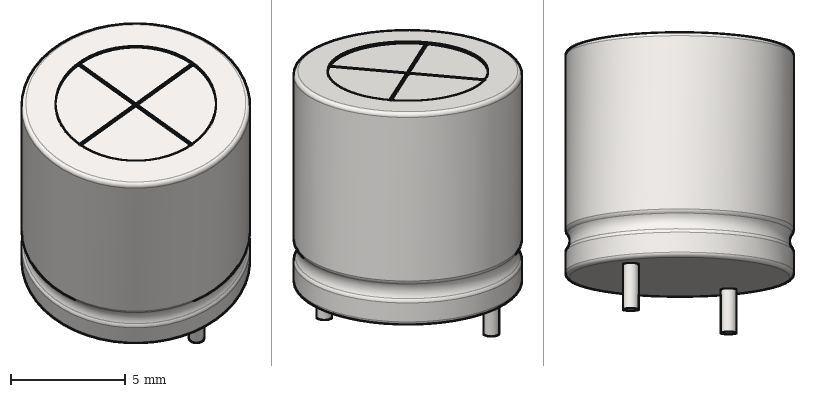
import cadquery as cq

total_height = 12.0
lead_length = 2.0
short_lead_length = 1.92
lead_diameter = 0.7
lead_spacing = 7.5

can_height = total_height - lead_length
can_radius = 10.0 / 2
rim_fillet = 0.19

groove_center_z = 1.6
groove_half_height = 0.52
valley_half_height = 0.35
groove_depth = 0.18
lip_drop = 0.08
lip_bulge = 0.02

vent_radius = 3.5
vent_depth = 0.1
score_width = 0.1
score_depth = 0.1


def make_can():
    """Revolve the half section of the can around Z."""
    lip_radius = can_radius - lip_drop
    lip_mid_radius = can_radius - lip_bulge
    lip_mid_offset = (groove_half_height + valley_half_height) / 2
    section = (
        cq.Workplane("XZ")
        .lineTo(can_radius, 0)
        .lineTo(can_radius, groove_center_z - groove_half_height)
        .threePointArc(
            (lip_mid_radius, groove_center_z - lip_mid_offset),
            (lip_radius, groove_center_z - valley_half_height),
        )
        .threePointArc(
            (can_radius - groove_depth, groove_center_z),
            (lip_radius, groove_center_z + valley_half_height),
        )
        .threePointArc(
            (lip_mid_radius, groove_center_z + lip_mid_offset),
            (can_radius, groove_center_z + groove_half_height),
        )
        .lineTo(can_radius, can_height)
        .lineTo(0, can_height)
        .close()
    )
    can = section.revolve(360, (0, 0, 0), (0, 1, 0))
    return can.faces("<Z or >Z").edges().fillet(rim_fillet)


def make_vent():
    """Cutter for the round recess and the crossed score lines in its floor."""
    floor_z = can_height - vent_depth
    recess = cq.Workplane("XY", origin=(0, 0, floor_z)).circle(vent_radius).extrude(vent_depth)
    score_plane = cq.Workplane("XY", origin=(0, 0, floor_z))
    score_length = 2 * vent_radius
    cross = score_plane.rect(score_length, score_width).extrude(-score_depth)
    cross = cross.union(score_plane.rect(score_width, score_length).extrude(-score_depth))
    return recess.union(cross)


def make_lead(x, length):
    """Round lead hanging from the underside of the can."""
    return cq.Workplane("XY").center(x, 0).circle(lead_diameter / 2).extrude(-length)


result = make_can().cut(make_vent())
result = result.union(make_lead(-lead_spacing / 2, lead_length))
result = result.union(make_lead(lead_spacing / 2, short_lead_length))